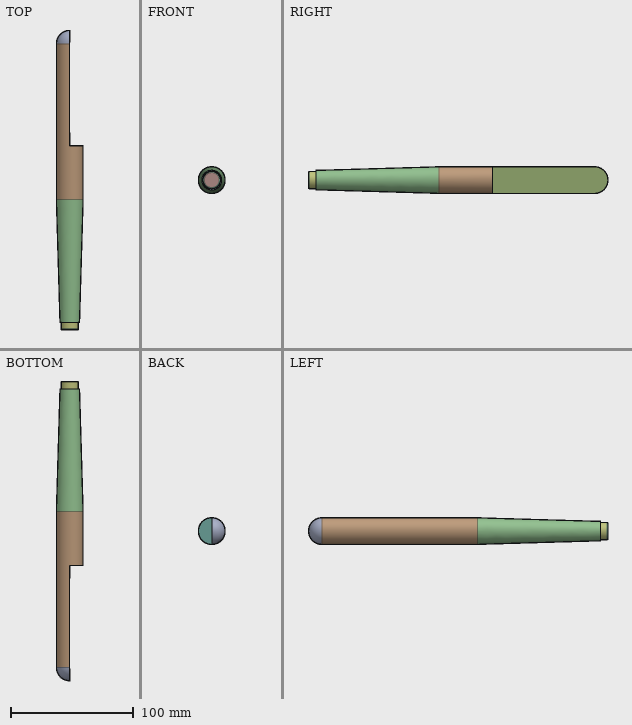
import cadquery as cq
import math

length = 244.0
body_radius = 11.0
neck_radius = 7.0
neck_length = 6.0
neck_end_round = 1.0
taper_small_radius = 8.0
taper_length = 100.0
full_round_length = 44.0

taper_end = neck_length + taper_length
flat_start = taper_end + full_round_length
dome_start = length - body_radius


def make_rod():
    """Revolve the stepped, tapered and domed half profile about Y."""
    diagonal = math.sqrt(0.5)
    neck_round_mid = (
        neck_radius - neck_end_round * (1 - diagonal),
        neck_end_round * (1 - diagonal),
    )
    dome_mid = (body_radius * diagonal, dome_start + body_radius * diagonal)
    profile = (
        cq.Workplane("XY")
        .lineTo(neck_radius - neck_end_round, 0)
        .threePointArc(neck_round_mid, (neck_radius, neck_end_round))
        .lineTo(neck_radius, neck_length)
        .lineTo(taper_small_radius, neck_length)
        .lineTo(body_radius, taper_end)
        .lineTo(body_radius, dome_start)
        .threePointArc(dome_mid, (0, length))
        .close()
    )
    return profile.revolve(360, (0, 0, 0), (0, 1, 0))


def make_half_cut():
    """Block that removes the +X half of the rod from the step to the dome tip."""
    return cq.Workplane("XY").box(
        body_radius, length - flat_start, 2 * body_radius, centered=(False, False, True)
    ).translate((0, flat_start, 0))


result = make_rod().cut(make_half_cut())